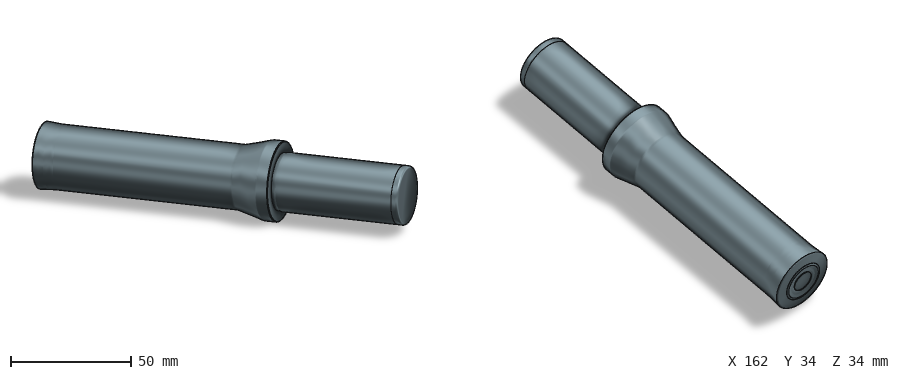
import cadquery as cq

LENGTH = 162.0

SCREW_RADIUS = 9.2
SCREW_CREST_RADIUS = 8.3
SCREW_CHAMFER = 0.25
SCREW_DEPTH = 5.5
DISH_RADIUS = 6.6
DISH_DEPTH = 0.23
SOCKET_RIM_RADIUS = 5.7
SOCKET_RADIUS = 4.7
SOCKET_WALL_START = 0.3
SOCKET_DEPTH = 0.6

FACE_INNER_X = 0.3
FACE_OUTER_X = 0.6
FACE_OUTER_RADIUS = 13.5
CORNER_X = 1.1
HEAD_RADIUS = 14.3
TAPER_END_X = 5.7
TAPER_END_RADIUS = 13.9

BODY_RADIUS = 27.5 / 2
BODY_START = 10.0
FLARE_START = 88.3
FLARE_CONE_START = 89.3
FLARE_CONE_RISE = 0.13
COLLAR_RADIUS = 34.0 / 2
RIM_START = 100.6
RIM_END = 101.1
RIM_DROP = 0.06
COLLAR_END = 106.0
COLLAR_CHAMFER = 0.3

NECK_RADIUS = 24.5 / 2
NECK_END = 107.0
SHANK_RADIUS = 25.0 / 2
SHANK_START = 107.9
GROOVE_START = 158.5
GROOVE_WIDTH = 0.8
GROOVE_DEPTH = 0.08
END_ROUND = 1.1


def revolve_about_x(outline):
    """Close an outline given as (X, radius) and turn it about the X axis."""
    return outline.close().revolve(360, (0, 0, 0), (1, 0, 0))


def make_screw():
    """Round screw with a chamfered edge, a dished front and a central socket."""
    return revolve_about_x(
        cq.Workplane("XY")
        .moveTo(SCREW_DEPTH, 0)
        .lineTo(SCREW_DEPTH, SCREW_RADIUS)
        .lineTo(SCREW_CHAMFER, SCREW_RADIUS)
        .lineTo(0, SCREW_CREST_RADIUS)
        .lineTo(DISH_DEPTH, DISH_RADIUS)
        .lineTo(DISH_DEPTH, SOCKET_RIM_RADIUS)
        .lineTo(SOCKET_WALL_START, SOCKET_RADIUS)
        .lineTo(SOCKET_DEPTH, SOCKET_RADIUS)
        .lineTo(SOCKET_DEPTH, 0)
    )


def make_holder():
    """Crowned head, body, flared collar, relieved neck and grooved shank."""
    outline = cq.Workplane("XY").moveTo(SCREW_DEPTH, 0).lineTo(SCREW_DEPTH, SCREW_RADIUS)
    outline = outline.lineTo(FACE_INNER_X, SCREW_RADIUS).lineTo(FACE_OUTER_X, FACE_OUTER_RADIUS)
    outline = outline.tangentArcPoint((CORNER_X, HEAD_RADIUS), relative=False)

    outline = outline.lineTo(TAPER_END_X, TAPER_END_RADIUS)
    outline = outline.tangentArcPoint((BODY_START, BODY_RADIUS), relative=False)

    outline = outline.lineTo(FLARE_START, BODY_RADIUS)
    outline = outline.tangentArcPoint((FLARE_CONE_START, BODY_RADIUS + FLARE_CONE_RISE), relative=False)
    outline = outline.lineTo(RIM_START, COLLAR_RADIUS - RIM_DROP)
    outline = outline.tangentArcPoint((RIM_END, COLLAR_RADIUS), relative=False)
    outline = outline.lineTo(COLLAR_END - COLLAR_CHAMFER, COLLAR_RADIUS)
    outline = outline.lineTo(COLLAR_END, COLLAR_RADIUS - COLLAR_CHAMFER)

    outline = outline.lineTo(COLLAR_END, NECK_RADIUS).lineTo(NECK_END, NECK_RADIUS)
    outline = outline.lineTo(SHANK_START, SHANK_RADIUS)

    outline = outline.lineTo(GROOVE_START, SHANK_RADIUS)
    outline = outline.lineTo(GROOVE_START + GROOVE_WIDTH / 2, SHANK_RADIUS - GROOVE_DEPTH)
    outline = outline.lineTo(GROOVE_START + GROOVE_WIDTH, SHANK_RADIUS)
    outline = outline.lineTo(LENGTH - END_ROUND, SHANK_RADIUS)
    outline = outline.tangentArcPoint((LENGTH, SHANK_RADIUS - END_ROUND), relative=False)
    return revolve_about_x(outline.lineTo(LENGTH, 0))


screw = make_screw()
holder = make_holder()
result = cq.Compound.makeCompound([screw.val(), holder.val()])